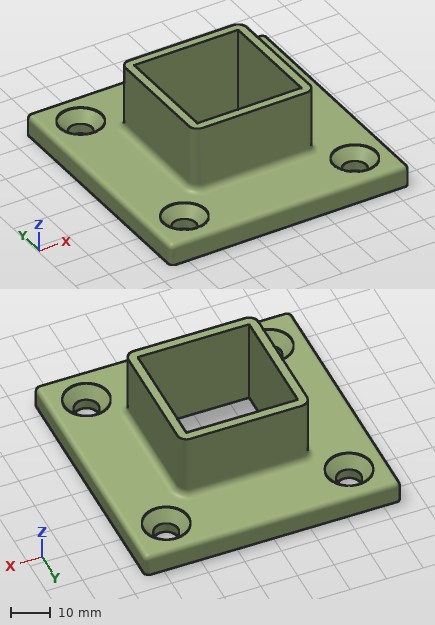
import cadquery as cq

plate_side = 70.0
plate_thickness = 6.0
plate_round = 1.5

total_height = 25.0
socket_outer = 35.5
socket_wall = 2.5
socket_corner_radius = 2.5
socket_inner = socket_outer - 2 * socket_wall
root_fillet = 2.0

hole_spacing = 50.0
hole_diameter = 6.5
countersink_diameter = 12.2
countersink_angle = 90.0
countersink_recess = 0.3


def make_plate():
    """Square plate with rounded corners and a rounded top edge."""
    plate = cq.Workplane("XY").rect(plate_side, plate_side).extrude(plate_thickness)
    plate = plate.edges("|Z").fillet(plate_round)
    return plate.faces(">Z").edges().fillet(plate_round)


def add_socket(plate):
    """Add the square post and blend its foot into the plate."""
    post = cq.Workplane("XY").rect(socket_outer, socket_outer).extrude(total_height)
    post = post.edges("|Z").fillet(socket_corner_radius)
    body = plate.union(post)
    half_box = socket_outer / 2 + root_fillet
    foot_edges = cq.selectors.BoxSelector(
        (-half_box, -half_box, plate_thickness - root_fillet / 2),
        (half_box, half_box, plate_thickness + root_fillet / 2),
    )
    return body.edges(foot_edges).fillet(root_fillet)


def cut_opening(body):
    """Cut the sharp-cornered square opening through the full height."""
    opening = cq.Workplane("XY").rect(socket_inner, socket_inner).extrude(total_height)
    return body.cut(opening)


def hole_centres(body, height):
    """Select the four screw positions on a plane at the given height."""
    plane = body.copyWorkplane(cq.Workplane("XY", origin=(0, 0, height)))
    return plane.rect(hole_spacing, hole_spacing, forConstruction=True).vertices()


def cut_screw_holes(body):
    """Cut four through holes, each with a shallow straight recess above its countersink."""
    cone_top = plate_thickness - countersink_recess
    body = hole_centres(body, plate_thickness).hole(countersink_diameter, countersink_recess)
    return hole_centres(body, cone_top).cskHole(hole_diameter, countersink_diameter, countersink_angle)


result = cut_screw_holes(cut_opening(add_socket(make_plate())))